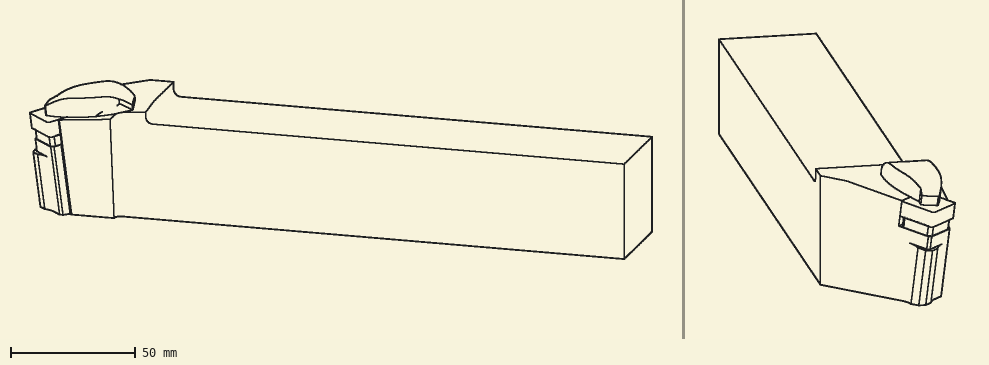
import cadquery as cq
import math


length = 249.7
shank = 40.0
head_top = 46.0
head_back = 49.0
step_fillet = 3.0
flank_x = 37.0
flank_run = 0.3
flank_drop = 2.9
flank_fillet = 2.5
margin = 12.5
reach = 299.5

side = 16.0
thickness = 6.5
nose_radius = 0.8
rake = 8.0
overhang = 9.7

shim_thickness = 4.5
wall_inset = 0.5
shim_inset = 0.7
wall_chamfer = 1.0
shim_chamfer = 1.5
side_wall_start = 4.7
side_wall_width = 1.2

boss_drop = 5.5
boss_depth = 1.5
boss_flat = 3.7
boss_chamfer = 2.0
boss_runout = 5.0

clamp_height = 8.2
clamp_curve_run = 8.2
nose_slope = 27.0
nose_flat_end = (15.0, 0)
nose_heading = 180.0
tail_slope = 45.0
tail_flat_end = (26.0, 9.5)
tail_heading = 14.0
tail_corner = (37.7, 7.2)
undercut_start = (23.5, 0.2)
undercut_knee = (30.7, 2.7)
side_undercut = 75.0
tail_undercut = 69.0

half = side / 2
tip_cut = nose_radius * (math.sqrt(2) - 1)
edge_mid_x = half / math.sqrt(2) - tip_cut
edge_mid_y = half / math.sqrt(2) - tip_cut - overhang
lean = math.sin(math.radians(rake)) / math.sqrt(2)
seat = cq.Plane(
    origin=(edge_mid_x, edge_mid_y, shank),
    xDir=(1, -1, 0),
    normal=(-lean, -lean, math.cos(math.radians(rake))),
)
clamp_frame = seat.rotated((0, 0, 45))

corner_edges = cq.selectors.ParallelDirSelector(seat.zDir)

shim_bottom = -thickness - shim_thickness
wall = half - wall_inset


def square_block(width, top, height):
    """Block on the insert's centre line, its upper face at `top` in the seat frame."""
    return (
        cq.Workplane(seat)
        .workplane(offset=top)
        .center(0, half)
        .rect(width, width)
        .extrude(-height)
    )


def make_insert():
    return square_block(side, 0, thickness).edges(corner_edges).fillet(nose_radius)


def side_profile():
    """Shank and raised head, wider than the whole tool."""
    return (
        cq.Workplane("XZ", origin=(0, shank, 0))
        .moveTo(-margin, 0)
        .lineTo(length, 0)
        .lineTo(length, shank)
        .lineTo(head_back + step_fillet, shank)
        .radiusArc((head_back, shank + step_fillet), step_fillet)
        .lineTo(head_back, head_top)
        .lineTo(-margin, head_top)
        .close()
        .extrude(shank + 2 * margin)
    )


def upright_walls():
    """Upright walls of shank and head flank; the seat walls trim the rest."""
    flank_scale = 2 * margin / flank_drop
    return (
        cq.Workplane("XY")
        .polyline([
            (-margin, shank),
            (length, shank),
            (length, 0),
            (flank_x, 0),
            (flank_x - flank_run * flank_scale, -flank_drop * flank_scale),
            (-margin, -2 * margin),
        ])
        .close()
        .extrude(head_top)
        .edges(cq.selectors.NearestToPointSelector((flank_x, 0, head_top / 2)))
        .fillet(flank_fillet)
    )


def seat_walls():
    """Everything below the insert face and inside the walls that run square to it."""
    side_wall_end = wall + side_wall_width
    return (
        cq.Workplane(seat)
        .polyline([
            (-wall, reach),
            (-wall, wall_inset + wall_chamfer),
            (-wall + wall_chamfer, wall_inset),
            (wall - wall_chamfer, wall_inset),
            (wall, wall_inset + wall_chamfer),
            (wall, side_wall_start),
            (side_wall_end, side_wall_start),
            (side_wall_end + reach, side_wall_start + reach),
        ])
        .close()
        .extrude(-3 * shank)
    )


def corner_boss():
    """Chamfered boss round the outer corner, with a concave runout along both walls."""
    face = wall_inset - boss_depth
    outer = -wall - boss_depth
    flat_end = boss_chamfer + boss_flat
    runout_end = flat_end + boss_runout
    radius = (boss_runout**2 + boss_depth**2) / (2 * boss_depth)
    boss = (
        cq.Workplane(seat)
        .workplane(offset=shim_bottom - boss_drop)
        .moveTo(outer + boss_chamfer, face)
        .lineTo(outer + flat_end, face)
        .radiusArc((outer + runout_end, wall_inset), radius)
        .lineTo(-wall, face + runout_end)
        .radiusArc((outer, face + flat_end), radius)
        .lineTo(outer, face + boss_chamfer)
        .close()
        .extrude(-2 * shank)
    )
    above_base = cq.Workplane("XY").rect(2 * shank, 2 * shank).extrude(shank)
    return boss.intersect(above_base)


def shim():
    """Plate under the insert, in one piece with the holder."""
    block = square_block(side - 2 * shim_inset, -thickness, shim_thickness)
    return block.edges(corner_edges).chamfer(shim_chamfer)


def clamp_roof(flat_end, heading, slope):
    """Space under a clamp top that is flat up to `flat_end`, then rounds over and slopes down."""
    angle = math.radians(slope)
    radius = clamp_curve_run / math.sin(angle)
    curve_end = clamp_height - radius * (1 - math.cos(angle))
    slope_run = curve_end / math.tan(angle)
    turn = math.radians(heading)
    section = cq.Plane(
        origin=(*flat_end, 0),
        xDir=(math.cos(turn), math.sin(turn), 0),
        normal=(math.sin(turn), -math.cos(turn), 0),
    )
    return (
        cq.Workplane(section)
        .moveTo(-reach, 0)
        .lineTo(-reach, clamp_height)
        .lineTo(0, clamp_height)
        .radiusArc((clamp_curve_run, curve_end), radius)
        .lineTo(clamp_curve_run + slope_run, 0)
        .close()
        .extrude(reach, both=True)
    )


def undercut(start, end, slope):
    """Wedge under the clamp that opens outwards from the line start-end on the clamp's base."""
    along = cq.Vector(*end) - cq.Vector(*start)
    section = cq.Plane(origin=(*start, 0), xDir=(along.y, -along.x, 0), normal=(-along.x, -along.y, 0))
    return (
        cq.Workplane(section)
        .moveTo(0, 0)
        .lineTo(margin, 0)
        .lineTo(margin, margin * math.tan(math.radians(slope)))
        .close()
        .extrude(reach, both=True)
    )


def clamp():
    """Tapered clamp finger in its own frame, lying on the insert and the head."""
    body = (
        cq.Workplane("XY")
        .moveTo(2.2, 2.7)
        .lineTo(2.7, 2.2)
        .lineTo(7.5, 0.7)
        .threePointArc((19.7, 0.0), (34.0, 2.7))
        .lineTo(*tail_corner)
        .lineTo(35.5, 18.5)
        .lineTo(33.5, 20.0)
        .threePointArc((21.5, 17.7), (14.7, 14.7))
        .lineTo(7.2, 10.5)
        .lineTo(5.7, 9.5)
        .lineTo(2.5, 9.5)
        .lineTo(2.2, 8.2)
        .close()
        .extrude(clamp_height)
    )
    body = body.intersect(clamp_roof(nose_flat_end, nose_heading, nose_slope))
    body = body.intersect(clamp_roof(tail_flat_end, tail_heading, tail_slope))
    body = body.cut(undercut(undercut_start, undercut_knee, side_undercut))
    body = body.cut(undercut(undercut_knee, tail_corner, tail_undercut))
    return body.val().moved(cq.Location(clamp_frame))


def make_holder():
    """Shank and head in one piece with the shim, boss and clamp."""
    block = side_profile().intersect(upright_walls()).intersect(seat_walls())
    pocket = square_block(side, 0, thickness + shim_thickness)
    return block.cut(pocket).union(corner_boss()).union(shim()).union(cq.Workplane(clamp()))


insert = make_insert()
holder = make_holder()

result = cq.Compound.makeCompound([holder.solids().val(), insert.solids().val()])